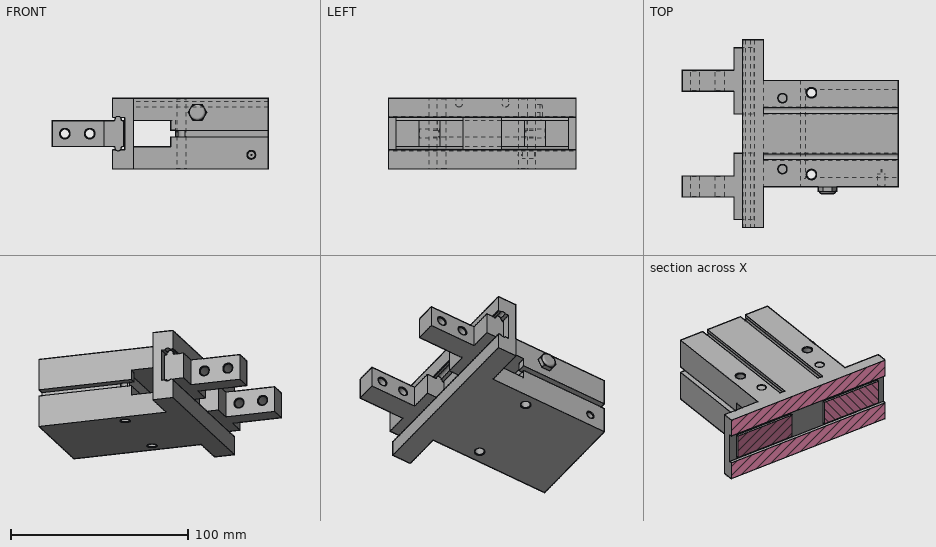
import cadquery as cq
import math


LENGTH = 122.0
PLATE_WIDTH = 106.0
HEIGHT = 40.0

PLATE_FRONT = 34.0
PLATE_BACK = 46.0
CHANNEL_HEIGHT = 17.9
CHANNEL_LIP_CHAMFER = 0.4
CHANNEL_FLOOR = 40.9

RAIL_X = 37.2
RAIL_RADIUS = 1.8
RAIL_CENTRE_Z = 7.9

BODY_WIDTH = 60.0
WINDOW_END = 66.9
WINDOW_HEIGHT = 14.8
SIDE_SLOT_HEIGHT = 3.7
SIDE_SLOT_DEPTH = 5.2

RELIEF_WIDTH = 50.5
RELIEF_END = 69.7

SENSOR_GROOVE_Y = 13.0
SENSOR_MOUTH_WIDTH = 3.3
SENSOR_BORE_DIAMETER = 4.0
SENSOR_BORE_DEPTH = 2.9

THREAD_HOLE_DIAMETER = 5.1
THREAD_MOUTH_DIAMETER = 6.0
MOUNT_HOLE_X = 73.0
MOUNT_HOLE_Y = 23.0

DOWEL_X = 56.6
DOWEL_Y = 20.0
DOWEL_DIAMETER = 4.9
DOWEL_MOUTH_DIAMETER = 5.4

PORT_Z = 12.0
OPEN_PORT_X = 112.4
PORT_DIAMETER = 4.1
PORT_MOUTH_DIAMETER = 5.0
PORT_DEPTH = 7.3
PORT_ORIFICE_DIAMETER = 0.6
PORT_ORIFICE_DEPTH = 2.5
PLUG_X = 82.0
PLUG_FLATS = 9.2
PLUG_HEIGHT = 3.9
PLUG_BOSS_DIAMETER = 9.0
PLUG_BOSS_ROUNDING = 1.2
PLUG_SHOULDER_HEIGHT = 2.6

JAW_Y = 29.8
JAW_HEIGHT = 14.8
JAW_BACK = 40.5
JAW_FLANGE_FRONT = 29.2
JAW_FLANGE_WIDTH = 37.6
JAW_ARM_WIDTH = 12.0
JAW_HOLES_X = (7.2, 21.2)


def box(x_range, y_range, z_range):
    """Axis-aligned block given by its limits along each axis."""
    sizes = [high - low for low, high in (x_range, y_range, z_range)]
    corner = (x_range[0], y_range[0], z_range[0])
    return cq.Workplane("XY").box(*sizes, centered=False).translate(corner)


def centred(size):
    """Limits of a span of the given size centred on zero."""
    return (-size / 2, size / 2)


def rod(diameter, start, end):
    """Cylinder between two points."""
    axis = cq.Vector(*end) - cq.Vector(*start)
    return cq.Workplane(cq.Solid.makeCylinder(diameter / 2, axis.Length, cq.Vector(*start), axis))


def cone(start_diameter, end_diameter, start, direction, height):
    """Cone frustum that starts at a point and runs along a direction."""
    return cq.Workplane(cq.Solid.makeCone(
        start_diameter / 2, end_diameter / 2, height, cq.Vector(*start), cq.Vector(*direction)
    ))


def threaded_hole(start, end):
    """Cutter for a through hole whose two mouths are chamfered at 45 degrees."""
    chamfer = (THREAD_MOUTH_DIAMETER - THREAD_HOLE_DIAMETER) / 2
    inward = (cq.Vector(*end) - cq.Vector(*start)).normalized()
    cutter = rod(THREAD_HOLE_DIAMETER, start, end)
    for mouth, direction in ((start, inward), (end, -inward)):
        countersink = cone(THREAD_MOUTH_DIAMETER, THREAD_HOLE_DIAMETER, mouth, direction.toTuple(), chamfer)
        cutter = cutter.union(countersink)
    return cutter


def channel_mouth():
    """Cutter that chamfers both front edges of the channel."""
    half_channel = CHANNEL_HEIGHT / 2
    half_mouth = half_channel + CHANNEL_LIP_CHAMFER
    chamfer_end = PLATE_FRONT + CHANNEL_LIP_CHAMFER
    return (
        cq.Workplane("XZ", origin=(0, PLATE_WIDTH / 2, 0))
        .moveTo(PLATE_FRONT, -half_mouth)
        .lineTo(chamfer_end, -half_channel)
        .lineTo(chamfer_end, half_channel)
        .lineTo(PLATE_FRONT, half_mouth)
        .close()
        .extrude(PLATE_WIDTH)
    )


def guide_plate():
    """Plate with a channel along Y, open to the front, and a rail groove in each channel wall."""
    plate = box((PLATE_FRONT, PLATE_BACK), centred(PLATE_WIDTH), centred(HEIGHT))
    plate = plate.cut(box((PLATE_FRONT, CHANNEL_FLOOR), centred(PLATE_WIDTH), centred(CHANNEL_HEIGHT)))
    plate = plate.cut(channel_mouth())
    for z in (-RAIL_CENTRE_Z, RAIL_CENTRE_Z):
        groove_start = (RAIL_X, -PLATE_WIDTH / 2, z)
        groove_end = (RAIL_X, PLATE_WIDTH / 2, z)
        plate = plate.cut(rod(2 * RAIL_RADIUS, groove_start, groove_end))
    return plate


def sensor_groove(y):
    """Cutter for one lengthwise groove in the top face."""
    bore_z = HEIGHT / 2 - SENSOR_BORE_DEPTH
    half_mouth = SENSOR_MOUTH_WIDTH / 2
    mouth = box((PLATE_BACK, LENGTH), (y - half_mouth, y + half_mouth), (bore_z, HEIGHT / 2))
    return mouth.union(rod(SENSOR_BORE_DIAMETER, (PLATE_BACK, y, bore_z), (LENGTH, y, bore_z)))


def dowel_recess(y):
    """Cutter for one conical recess in the top face, with 45 degree sides."""
    depth = (DOWEL_MOUTH_DIAMETER - DOWEL_DIAMETER) / 2
    return cone(DOWEL_MOUTH_DIAMETER, DOWEL_DIAMETER, (DOWEL_X, y, HEIGHT / 2), (0, 0, -1), depth)


def air_port():
    """Cutter for the open port: chamfered mouth, flat-bottomed bore and a small central orifice."""
    side = -BODY_WIDTH / 2
    chamfer = (PORT_MOUTH_DIAMETER - PORT_DIAMETER) / 2
    mouth = (OPEN_PORT_X, side, -PORT_Z)
    bottom = (OPEN_PORT_X, side + PORT_DEPTH, -PORT_Z)
    orifice_end = (OPEN_PORT_X, side + PORT_DEPTH + PORT_ORIFICE_DEPTH, -PORT_Z)
    bore = rod(PORT_DIAMETER, mouth, bottom)
    countersink = cone(PORT_MOUTH_DIAMETER, PORT_DIAMETER, mouth, (0, 1, 0), chamfer)
    orifice = rod(PORT_ORIFICE_DIAMETER, bottom, orifice_end)
    return bore.union(countersink).union(orifice)


def port_plug():
    """Hexagonal plug head on the front side, with a rounded boss on its outer face."""
    across_corners = PLUG_FLATS / math.cos(math.radians(30))
    side = -BODY_WIDTH / 2
    seat = (PLUG_X, side, PORT_Z)
    shoulder = (PLUG_X, side - PLUG_SHOULDER_HEIGHT, PORT_Z)
    face = (PLUG_X, side - PLUG_HEIGHT, PORT_Z)
    head = cq.Workplane("XZ", origin=seat).polygon(6, across_corners).extrude(PLUG_SHOULDER_HEIGHT)
    boss = rod(PLUG_BOSS_DIAMETER, shoulder, face).faces("<Y").edges().fillet(PLUG_BOSS_ROUNDING)
    return head.union(boss)


def housing():
    """Guide plate, body and plug head as one solid."""
    side = BODY_WIDTH / 2
    top = HEIGHT / 2
    body = box((PLATE_BACK, LENGTH), centred(BODY_WIDTH), centred(HEIGHT))
    body = body.cut(box((PLATE_BACK, WINDOW_END), centred(BODY_WIDTH), centred(WINDOW_HEIGHT)))
    for slot_y_range in ((-side, SIDE_SLOT_DEPTH - side), (side - SIDE_SLOT_DEPTH, side)):
        body = body.cut(box((WINDOW_END, LENGTH), slot_y_range, centred(SIDE_SLOT_HEIGHT)))
    relief_z_range = (-SIDE_SLOT_HEIGHT / 2, WINDOW_HEIGHT / 2)
    body = body.cut(box((WINDOW_END, RELIEF_END), centred(RELIEF_WIDTH), relief_z_range))
    for hand in (-1, 1):
        body = body.cut(sensor_groove(hand * SENSOR_GROOVE_Y))
        mount_y = hand * MOUNT_HOLE_Y
        body = body.cut(threaded_hole((MOUNT_HOLE_X, mount_y, -top), (MOUNT_HOLE_X, mount_y, top)))
        body = body.cut(dowel_recess(hand * DOWEL_Y))
    body = body.cut(air_port())
    return guide_plate().union(body).union(port_plug())


def jaw_rail(side):
    """Ridge on the top (side = 1) or bottom (side = -1) of a jaw: round crest, filleted root."""
    base_z = JAW_HEIGHT / 2
    root_radius = RAIL_CENTRE_Z - base_z
    root_offset = RAIL_RADIUS + root_radius
    diagonal = root_offset - root_radius * math.sqrt(0.5)
    diagonal_z = RAIL_CENTRE_Z - root_radius * math.sqrt(0.5)
    crest_z = RAIL_CENTRE_Z + RAIL_RADIUS

    def point(dx, z):
        return (RAIL_X + dx, side * z)

    return (
        cq.Workplane("XZ", origin=(0, JAW_FLANGE_WIDTH / 2, 0))
        .moveTo(*point(-root_offset, base_z))
        .threePointArc(point(-diagonal, diagonal_z), point(-RAIL_RADIUS, RAIL_CENTRE_Z))
        .threePointArc(point(0, crest_z), point(RAIL_RADIUS, RAIL_CENTRE_Z))
        .threePointArc(point(diagonal, diagonal_z), point(root_offset, base_z))
        .close()
        .extrude(JAW_FLANGE_WIDTH)
    )


def jaw(y):
    """T-shaped jaw centred at the given Y, with two cross holes in its arm."""
    half_arm = JAW_ARM_WIDTH / 2
    body = box((0, JAW_BACK), centred(JAW_ARM_WIDTH), centred(JAW_HEIGHT))
    body = body.union(box((JAW_FLANGE_FRONT, JAW_BACK), centred(JAW_FLANGE_WIDTH), centred(JAW_HEIGHT)))
    for side in (-1, 1):
        body = body.union(jaw_rail(side))
    for x in JAW_HOLES_X:
        body = body.cut(threaded_hole((x, -half_arm, 0), (x, half_arm, 0)))
    return body.translate((0, y, 0))


jaws = [jaw(y) for y in (-JAW_Y, JAW_Y)]

result = cq.Compound.makeCompound([housing().val(), *[one_jaw.val() for one_jaw in jaws]])